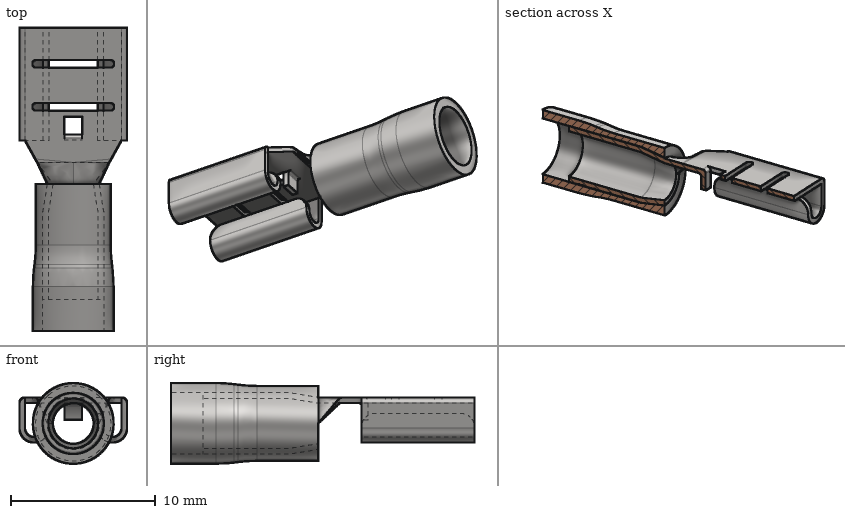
import cadquery as cq
import math

SHEET = 0.4

SLEEVE_LENGTH = 10.18
MOUTH_RADIUS = 2.8
GRIP_RADIUS = 2.6
MOUTH_LENGTH = 3.1
MOUTH_BLEND_END = 4.37
GRIP_BLEND_START = 4.62
GRIP_START = 5.96

BARREL_RADIUS = 2.12
BARREL_START = 2.2
CONE_START = 8.2
NECK_RADIUS = 1.8
BARREL_END = SLEEVE_LENGTH

TOTAL_LENGTH = 20.98
RECEPTACLE_WIDTH = 7.46
PLATE_TOP = NECK_RADIUS
PLATE_BOTTOM = PLATE_TOP - SHEET
RAIL_START = 13.16
RAIL_LENGTH = TOTAL_LENGTH - RAIL_START
HALF_WIDTH = RECEPTACLE_WIDTH / 2
CURL_RADIUS = 1.02
CURL_BOTTOM = -1.33
LIP_HEIGHT = 1.0
LIP_CORNER_RADIUS = 0.95

SHOULDER_START = 11.66
SHOULDER_HALF_WIDTH = 2.5
FOLD_LENGTH = 0.24
FOLD_DROP = 0.05

SLOT_LENGTH = 5.66
SLOT_WIDTH = 0.53
SLOT_CENTRES = (15.5, 18.47)
WINDOW_WIDTH = 1.22
WINDOW_START = 13.35
WINDOW_END = 14.81
TAB_OUTER_BEND = 0.25
TAB_INNER_BEND = 0.2
TAB_BOTTOM = 0.24


def blend_middle(y_start, radius_start, y_end, radius_end):
    """Middle point of an arc that leaves its start along Y and ends at the given point."""
    length = y_end - y_start
    rise = radius_end - radius_start
    turn = 2 * math.atan(rise / length)
    arc_radius = length / math.sin(turn)
    return (
        radius_start + arc_radius * (1 - math.cos(turn / 2)),
        y_start + arc_radius * math.sin(turn / 2),
    )


def revolve_about_y(outline):
    return outline.close().revolve(360, (0, 0, 0), (0, 1, 0))


def make_barrel_envelope():
    """Solid filling the outside of the crimp barrel; it also shapes the sleeve's seat."""
    return revolve_about_y(
        cq.Workplane("ZY")
        .moveTo(0, BARREL_START)
        .lineTo(BARREL_RADIUS, BARREL_START)
        .lineTo(BARREL_RADIUS, CONE_START)
        .lineTo(NECK_RADIUS, BARREL_END)
        .lineTo(0, BARREL_END)
    )


def make_sleeve():
    mouth_run = MOUTH_BLEND_END - MOUTH_LENGTH
    taper_run = GRIP_BLEND_START - MOUTH_BLEND_END
    grip_run = GRIP_START - GRIP_BLEND_START
    half_turn = (MOUTH_RADIUS - GRIP_RADIUS) / (mouth_run + grip_run + 2 * taper_run)
    mouth_blend_radius = MOUTH_RADIUS - mouth_run * half_turn
    grip_blend_radius = GRIP_RADIUS + grip_run * half_turn
    body = revolve_about_y(
        cq.Workplane("ZY")
        .moveTo(0, 0)
        .lineTo(MOUTH_RADIUS, 0)
        .lineTo(MOUTH_RADIUS, MOUTH_LENGTH)
        .threePointArc(
            blend_middle(MOUTH_LENGTH, MOUTH_RADIUS, MOUTH_BLEND_END, mouth_blend_radius),
            (mouth_blend_radius, MOUTH_BLEND_END),
        )
        .lineTo(grip_blend_radius, GRIP_BLEND_START)
        .threePointArc(
            blend_middle(GRIP_START, GRIP_RADIUS, GRIP_BLEND_START, grip_blend_radius),
            (GRIP_RADIUS, GRIP_START),
        )
        .lineTo(GRIP_RADIUS, SLEEVE_LENGTH)
        .lineTo(0, SLEEVE_LENGTH)
    )
    entry = cq.Workplane("XZ").circle(BARREL_RADIUS).extrude(-BARREL_START)
    return body.cut(entry).cut(make_barrel_envelope())


def make_barrel():
    bore = revolve_about_y(
        cq.Workplane("ZY")
        .moveTo(0, BARREL_START)
        .lineTo(BARREL_RADIUS - SHEET, BARREL_START)
        .lineTo(BARREL_RADIUS - SHEET, CONE_START)
        .lineTo(NECK_RADIUS - SHEET, BARREL_END)
        .lineTo(0, BARREL_END)
    )
    return make_barrel_envelope().cut(bore)


def make_neck():
    """Upper half of the barrel wall flattening into the plate along ruled faces."""
    bore_radius = NECK_RADIUS - SHEET
    ring_left = cq.Vector(-NECK_RADIUS, BARREL_END, 0)
    ring_right = cq.Vector(NECK_RADIUS, BARREL_END, 0)
    ring_crown = cq.Vector(0, BARREL_END, NECK_RADIUS)
    diagonal = NECK_RADIUS * math.sqrt(0.5)
    ring_upper_left = cq.Vector(-diagonal, BARREL_END, diagonal)
    ring_upper_right = cq.Vector(diagonal, BARREL_END, diagonal)
    bore_left = cq.Vector(-bore_radius, BARREL_END, 0)
    bore_right = cq.Vector(bore_radius, BARREL_END, 0)
    bore_crown = cq.Vector(0, BARREL_END, bore_radius)
    top_left = cq.Vector(-SHOULDER_HALF_WIDTH, SHOULDER_START, PLATE_TOP - FOLD_DROP)
    top_right = cq.Vector(SHOULDER_HALF_WIDTH, SHOULDER_START, PLATE_TOP - FOLD_DROP)
    top_middle = cq.Vector(0, SHOULDER_START, PLATE_TOP)
    bottom_left = cq.Vector(-SHOULDER_HALF_WIDTH, SHOULDER_START, PLATE_BOTTOM)
    bottom_right = cq.Vector(SHOULDER_HALF_WIDTH, SHOULDER_START, PLATE_BOTTOM)
    ring_edges = [
        cq.Edge.makeThreePointArc(ring_left, ring_upper_left, ring_crown),
        cq.Edge.makeThreePointArc(ring_crown, ring_upper_right, ring_right),
        cq.Edge.makeLine(ring_right, bore_right),
        cq.Edge.makeThreePointArc(bore_right, bore_crown, bore_left),
        cq.Edge.makeLine(bore_left, ring_left),
    ]
    plate_edges = [
        cq.Edge.makeLine(top_left, top_middle),
        cq.Edge.makeLine(top_middle, top_right),
        cq.Edge.makeLine(top_right, bottom_right),
        cq.Edge.makeLine(bottom_right, bottom_left),
        cq.Edge.makeLine(bottom_left, top_left),
    ]
    sides = [cq.Face.makeRuledSurface(*pair) for pair in zip(ring_edges, plate_edges)]
    ends = [cq.Face.makeFromWires(cq.Wire.assembleEdges(edges)) for edges in (ring_edges, plate_edges)]
    return cq.Workplane(cq.Solid.makeSolid(cq.Shell.makeShell(sides + ends)).fix())


def make_fold_cut():
    """Thin wedge that bends the plate's top down toward the +X end of the neck."""
    edge_slope = (HALF_WIDTH - SHEET - SHOULDER_HALF_WIDTH) / (RAIL_START - SHOULDER_START)
    middle = cq.Vector(0, SHOULDER_START, PLATE_TOP)
    corner = cq.Vector(SHOULDER_HALF_WIDTH, SHOULDER_START, PLATE_TOP)
    lowered_corner = corner - cq.Vector(0, 0, FOLD_DROP)
    fold_end = corner + cq.Vector(FOLD_LENGTH * edge_slope, FOLD_LENGTH, 0)
    triangles = [
        (middle, corner, fold_end),
        (middle, lowered_corner, corner),
        (corner, lowered_corner, fold_end),
        (middle, fold_end, lowered_corner),
    ]
    faces = [cq.Face.makeFromWires(cq.Wire.makePolygon(points, close=True)) for points in triangles]
    return cq.Workplane(cq.Solid.makeSolid(cq.Shell.makeShell(faces)).fix())


def make_plate():
    shoulder_edge = HALF_WIDTH - SHEET
    blank = (
        cq.Workplane("XY", origin=(0, 0, PLATE_BOTTOM))
        .polyline(
            [
                (-SHOULDER_HALF_WIDTH, SHOULDER_START),
                (SHOULDER_HALF_WIDTH, SHOULDER_START),
                (shoulder_edge, RAIL_START),
                (shoulder_edge, TOTAL_LENGTH),
                (-shoulder_edge, TOTAL_LENGTH),
                (-shoulder_edge, RAIL_START),
            ]
        )
        .close()
        .extrude(SHEET)
    )
    fold_cut = make_fold_cut()
    return blank.cut(fold_cut).cut(fold_cut.mirror("YZ"))


def make_rail():
    """Side wall on +X with its rounded top corner, inward curl and upright lip."""
    inner_wall = HALF_WIDTH - SHEET
    curl_x = HALF_WIDTH - CURL_RADIUS
    curl_z = CURL_BOTTOM + CURL_RADIUS
    lip_outer = curl_x - CURL_RADIUS
    corner_middle = SHEET * (1 - math.sqrt(0.5))
    wall = (
        cq.Workplane("XZ", origin=(0, RAIL_START, 0))
        .moveTo(inner_wall, PLATE_TOP)
        .threePointArc(
            (HALF_WIDTH - corner_middle, PLATE_TOP - corner_middle),
            (HALF_WIDTH, PLATE_BOTTOM),
        )
        .lineTo(HALF_WIDTH, curl_z)
        .threePointArc((curl_x, CURL_BOTTOM), (lip_outer, curl_z))
        .lineTo(lip_outer + SHEET, curl_z)
        .threePointArc((curl_x, CURL_BOTTOM + SHEET), (inner_wall, curl_z))
        .close()
        .extrude(-RAIL_LENGTH)
    )
    lip = (
        cq.Workplane("XY", origin=(lip_outer, RAIL_START, curl_z))
        .box(SHEET, RAIL_LENGTH, LIP_HEIGHT, centered=False)
        .edges("|X and >Z")
        .fillet(LIP_CORNER_RADIUS)
    )
    return wall.union(lip)


def make_slots():
    slots = cq.Workplane("XY", origin=(0, 0, PLATE_BOTTOM))
    slots = slots.pushPoints([(0, y) for y in SLOT_CENTRES])
    return slots.slot2D(SLOT_LENGTH, SLOT_WIDTH).extrude(SHEET)


def make_window():
    return (
        cq.Workplane("XY", origin=(-WINDOW_WIDTH / 2, WINDOW_START, PLATE_BOTTOM))
        .box(WINDOW_WIDTH, WINDOW_END - WINDOW_START, SHEET, centered=False)
    )


def make_tab():
    """Locking tab bent down from the shoulder edge of the window."""
    back = WINDOW_START + TAB_OUTER_BEND
    front = back - SHEET
    outer_middle = TAB_OUTER_BEND * (1 - math.sqrt(0.5))
    inner_middle = TAB_INNER_BEND * (1 - math.sqrt(0.5))
    return (
        cq.Workplane("YZ", origin=(-WINDOW_WIDTH / 2, 0, 0))
        .moveTo(front - TAB_INNER_BEND, PLATE_TOP)
        .lineTo(WINDOW_START, PLATE_TOP)
        .threePointArc(
            (back - outer_middle, PLATE_TOP - outer_middle),
            (back, PLATE_TOP - TAB_OUTER_BEND),
        )
        .lineTo(back, TAB_BOTTOM)
        .lineTo(front, TAB_BOTTOM)
        .lineTo(front, PLATE_BOTTOM - TAB_INNER_BEND)
        .threePointArc(
            (front - inner_middle, PLATE_BOTTOM - inner_middle),
            (front - TAB_INNER_BEND, PLATE_BOTTOM),
        )
        .close()
        .extrude(WINDOW_WIDTH)
    )


def make_terminal():
    rail = make_rail()
    receptacle = make_plate().union(rail).union(rail.mirror("YZ"))
    receptacle = receptacle.cut(make_slots()).cut(make_window()).union(make_tab())
    return make_barrel().union(make_neck()).union(receptacle)


sleeve = make_sleeve()
terminal = make_terminal()
result = cq.Compound.makeCompound([sleeve.val(), terminal.val()])